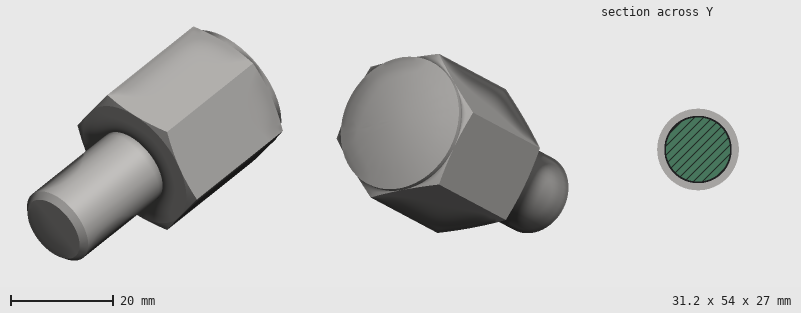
import cadquery as cq
import math

across_flats = 27.0
across_corners = across_flats / math.cos(math.radians(30))
head_length = 30.0
hex_length = 27.0
corner_chamfer_angle = 20.0
cone_overshoot = 1.0

collar_radius = across_flats / 2
dome_radius = 50.0
dome_height = dome_radius - math.sqrt(dome_radius**2 - collar_radius**2)

stud_length = 24.0
stud_radius = 16.0 / 2
neck_radius = 13.0 / 2
neck_length = 0.8
stud_chamfer = 1.2


def make_hex():
    """Hexagonal prism with corners on +X and -X and both ends turned to a cone."""
    prism = (
        cq.Workplane("XZ")
        .polygon(6, across_corners)
        .extrude(-hex_length)
    )
    outer_radius = across_corners / 2 + cone_overshoot
    cone_drop = (outer_radius - collar_radius) * math.tan(math.radians(corner_chamfer_angle))
    turned_envelope = (
        cq.Workplane("XY")
        .moveTo(0, 0)
        .lineTo(collar_radius, 0)
        .lineTo(outer_radius, cone_drop)
        .lineTo(outer_radius, hex_length - cone_drop)
        .lineTo(collar_radius, hex_length)
        .lineTo(0, hex_length)
        .close()
        .revolve(360, (0, 0, 0), (0, 1, 0))
    )
    return prism.intersect(turned_envelope)


def make_dome():
    """Collar and spherical cap on the +Y end of the hexagon."""
    rim_y = head_length - dome_height
    half_angle = math.asin(collar_radius / dome_radius) / 2
    arc_middle = (
        dome_radius * math.sin(half_angle),
        head_length - dome_radius * (1 - math.cos(half_angle)),
    )
    return (
        cq.Workplane("XY")
        .moveTo(0, hex_length)
        .lineTo(collar_radius, hex_length)
        .lineTo(collar_radius, rim_y)
        .threePointArc(arc_middle, (0, head_length))
        .close()
        .revolve(360, (0, 0, 0), (0, 1, 0))
    )


def make_stud():
    """Relief neck followed by the stud, chamfered at its free end."""
    neck = cq.Workplane("XZ").circle(neck_radius).extrude(neck_length)
    shank = (
        cq.Workplane("XZ", origin=(0, -neck_length, 0))
        .circle(stud_radius)
        .extrude(stud_length - neck_length)
        .faces("<Y")
        .chamfer(stud_chamfer)
    )
    return neck.union(shank)


result = make_hex().union(make_dome()).union(make_stud())